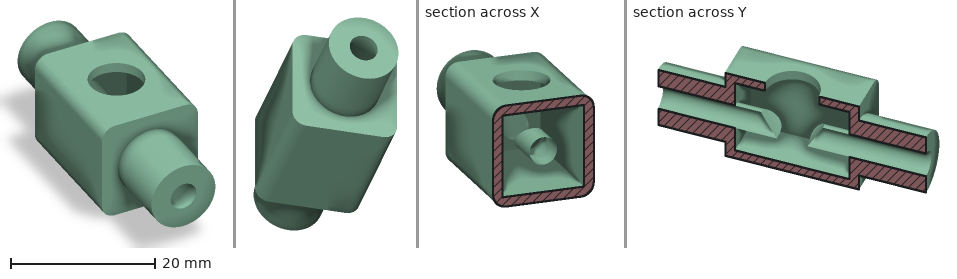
import cadquery as cq
import math

length = 40.0
body_length = 20.0
body_width = 15.0
corner_radius = 2.0
shaft_diameter = 10.0
bore_diameter = 4.0
port_diameter = 8.0

chamber_width = 12.0
wall = (body_width - chamber_width) / 2
chamber_length = body_length - 2 * wall
chamber_top = chamber_width / 2

liner_wall = 0.05
cone_half_angle = 30.0
cone_top_radius = chamber_width * math.tan(math.radians(cone_half_angle))
end_wall = 0.05


def x_cylinder(diameter, cylinder_length):
    """Cylinder along X, centred on the origin."""
    return cq.Workplane("YZ").circle(diameter / 2).extrude(cylinder_length / 2, both=True)


def vertical_cone(growth=0.0):
    """Cone with its tip on the chamber floor, its radius at the roof enlarged by growth."""
    profile = (
        cq.Workplane("XZ")
        .moveTo(0, -chamber_top)
        .lineTo(cone_top_radius + growth, chamber_top)
        .lineTo(0, chamber_top)
        .close()
    )
    return profile.revolve(360, (0, 0, 0), (0, 1, 0))


def housing():
    """Rounded square body with end shafts, hollowed by the chamber and open at the top port."""
    body = cq.Workplane("XY").box(body_length, body_width, body_width)
    body = body.edges("|X").fillet(corner_radius)
    chamber = cq.Workplane("XY").box(chamber_length, chamber_width, chamber_width)
    port = cq.Workplane("XY").circle(port_diameter / 2).extrude(body_width / 2)
    return body.union(x_cylinder(shaft_diameter, length)).cut(chamber).cut(port)


def inlet_tubes():
    """Thin liners that carry the bores from the chamber end walls to the cone."""
    liner_diameter = bore_diameter + 2 * liner_wall
    return x_cylinder(liner_diameter, chamber_length).cut(vertical_cone())


def bores():
    """Blind bores from both shaft ends, stopping just short of the cone."""
    return x_cylinder(bore_diameter, length).cut(vertical_cone(end_wall))


result = housing().union(inlet_tubes()).cut(bores())